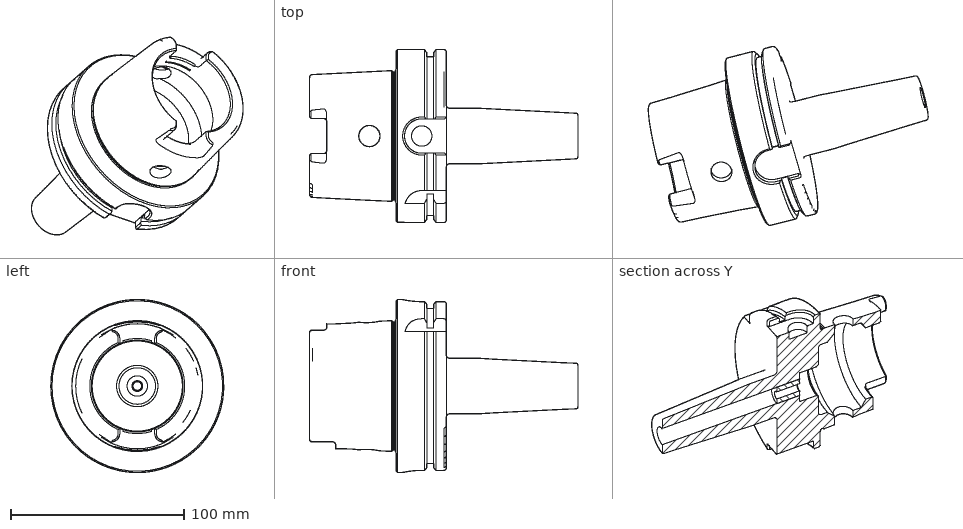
import cadquery as cq
import math

LENGTH = 155.0

FACE_X = 50.0
TAPER_END_X = 47.3
TAPER_END_RADIUS = 37.8
TAPER_RATE = 1 / 20
MOUTH_RADIUS = TAPER_END_RADIUS - TAPER_RATE * TAPER_END_X
MOUTH_ROUND = 1.9

RELIEF_SHOULDER_X = 48.0
RELIEF_SHOULDER_RADIUS = 37.5
RELIEF_START_X = 48.5
RELIEF_END_X = 49.1
RELIEF_RADIUS = 37.0
RELIEF_LIP_X = 49.6
RELIEF_LIP_RADIUS = 37.7
FACE_RECESS_RADIUS = 39.2

BORE_MOUTH_RADIUS = 26.5
BORE_CHAMFER = 1.0
CLAMP_START_X = 20.0
CLAMP_ANGLE = 60.0
UNDERCUT_RADIUS = 31.5
UNDERCUT_END_X = 40.0
REAR_BORE_RADIUS = 26.0
BORE_DEPTH = 51.2
BORE_FLOOR_ROUND = 1.7
THREAD_RADIUS = 10.5
THREAD_CHAMFER = 1.4
THREAD_DEPTH = 12.4
THREAD_FLOOR_X = BORE_DEPTH + THREAD_DEPTH
CROSS_HOLE_RADIUS = 6.0
CROSS_HOLE_X = 34.5

SLOT_HALF_WIDTH = 10.0
SLOT_CORNER_Z = 27.5
SLOT_CORNER_RADIUS = 4.8
SLOT_FLOOR_ROUND = 1.9
SLOT_MOUTH_CHAMFER = 1.0
SLOT_MOUTH_ANGLE = 45.0
UPPER_SLOT_DEPTH = 9.9
LOWER_SLOT_DEPTH = 15.0

FLANGE_DIAMETER = 100.0
FLANGE_RADIUS = FLANGE_DIAMETER / 2
FLANGE_END_X = 79.0
FLANGE_CHAMFER = 0.8
FLANGE_ROUND = 1.5
GROOVE_FLOOR_RADIUS = 45.9
GROOVE_FLOOR_START_X = 67.7
GROOVE_FLOOR_END_X = 71.6
GROOVE_BEVEL_LENGTH = 1.4
GROOVE_BEVEL_DEPTH = 1.9

POCKET_RADIUS = 9.9
POCKET_X = 64.8
POCKET_FLOOR = 44.0
POCKET_CHAMFER = 1.1
POCKET_HOLE_RADIUS = 5.9
POCKET_HOLE_DEPTH = 5.3
NOTCH_FLOOR = 31.5
NOTCH_WALL_Y = -31.5

NECK_RADIUS = 16.1
NECK_END_X = 97.6
NECK_ROUND = 1.9
TIP_RADIUS = 13.2
TIP_ROUND = 1.2
TOOL_BORE_RADIUS = 5.9

SCREW_LENGTH = 15.5
SCREW_HOLE_RADIUS = 2.5
SCREW_CHAMFER = 0.6
SCREW_CONE_ANGLE = 90.0

CLEARANCE = 1.5


def revolve_about_x(outline):
    return outline.close().revolve(360, (0, 0, 0), (1, 0, 0))


def make_shank():
    shank = revolve_about_x(
        cq.Workplane("XY")
        .polyline([
            (0, 0),
            (0, MOUTH_RADIUS),
            (TAPER_END_X, TAPER_END_RADIUS),
            (RELIEF_SHOULDER_X, RELIEF_SHOULDER_RADIUS),
            (RELIEF_START_X, RELIEF_RADIUS),
            (RELIEF_END_X, RELIEF_RADIUS),
            (RELIEF_LIP_X, RELIEF_LIP_RADIUS),
            (FACE_X, FACE_RECESS_RADIUS),
            (FACE_X, 0),
        ])
    )
    return shank.faces("<X").edges().fillet(MOUTH_ROUND)


def make_nose():
    nose = revolve_about_x(
        cq.Workplane("XY")
        .moveTo(FLANGE_END_X, 0)
        .lineTo(FLANGE_END_X, NECK_RADIUS)
        .lineTo(NECK_END_X, NECK_RADIUS)
        .lineTo(LENGTH, TIP_RADIUS)
        .lineTo(LENGTH, 0)
    )
    return nose.faces(">X").edges().fillet(TIP_ROUND)


def round_end_cutter(center_y, floor_z):
    """Vertical milling cut with a round end, open toward +X."""
    straight = FLANGE_END_X + CLEARANCE - POCKET_X
    height = FLANGE_RADIUS + CLEARANCE - floor_z
    plane = cq.Workplane("XY", origin=(POCKET_X, center_y, floor_z))
    end = plane.circle(POCKET_RADIUS).extrude(height)
    channel = plane.rect(straight, 2 * POCKET_RADIUS).extrude(height).translate((straight / 2, 0, 0))
    return end.union(channel)


def make_flange():
    flange = cq.Workplane("YZ", origin=(FACE_X, 0, 0)).circle(FLANGE_RADIUS).extrude(FLANGE_END_X - FACE_X)
    flange = flange.faces("<X").edges().chamfer(FLANGE_CHAMFER)
    flange = flange.faces(">X").edges().fillet(FLANGE_ROUND)
    pocket = round_end_cutter(0, POCKET_FLOOR)
    for angle in (0, 180):
        flange = flange.cut(pocket.rotate((0, 0, 0), (1, 0, 0), angle))
    return flange


def chamfer_pocket_rims(flange):
    """Break the upper edges where the pocket walls meet the flange cylinder."""
    rim_floor = POCKET_FLOOR + CLEARANCE
    rim_top = FLANGE_RADIUS + CLEARANCE
    for low_z, high_z in ((rim_floor, rim_top), (-rim_top, -rim_floor)):
        rim_zone = cq.selectors.BoxSelector(
            (FACE_X + FLANGE_CHAMFER, -POCKET_RADIUS - CLEARANCE, low_z),
            (FLANGE_END_X - FLANGE_ROUND, POCKET_RADIUS + CLEARANCE, high_z),
        )
        flange = flange.edges(rim_zone).chamfer(POCKET_CHAMFER)
    return flange


def cut_groove(flange):
    bevel_radius = FLANGE_RADIUS - GROOVE_BEVEL_DEPTH
    outer_radius = FLANGE_RADIUS + CLEARANCE
    bevel_start_x = GROOVE_FLOOR_START_X - GROOVE_BEVEL_LENGTH
    bevel_end_x = GROOVE_FLOOR_END_X + GROOVE_BEVEL_LENGTH
    groove = revolve_about_x(
        cq.Workplane("XY")
        .polyline([
            (GROOVE_FLOOR_START_X, GROOVE_FLOOR_RADIUS),
            (GROOVE_FLOOR_START_X, bevel_radius),
            (bevel_start_x, FLANGE_RADIUS),
            (bevel_start_x, outer_radius),
            (bevel_end_x, outer_radius),
            (bevel_end_x, FLANGE_RADIUS),
            (GROOVE_FLOOR_END_X, bevel_radius),
            (GROOVE_FLOOR_END_X, GROOVE_FLOOR_RADIUS),
        ])
    )
    return flange.cut(groove)


def cut_notch(flange):
    return flange.cut(round_end_cutter(NOTCH_WALL_Y - POCKET_RADIUS, NOTCH_FLOOR))


def make_shank_bore():
    clamp_length = (UNDERCUT_RADIUS - BORE_MOUTH_RADIUS) / math.tan(math.radians(CLAMP_ANGLE))
    rear_start_x = UNDERCUT_END_X + UNDERCUT_RADIUS - REAR_BORE_RADIUS
    bore = revolve_about_x(
        cq.Workplane("XY")
        .polyline([
            (0, 0),
            (0, BORE_MOUTH_RADIUS + BORE_CHAMFER),
            (BORE_CHAMFER, BORE_MOUTH_RADIUS),
            (CLAMP_START_X, BORE_MOUTH_RADIUS),
            (CLAMP_START_X + clamp_length, UNDERCUT_RADIUS),
            (UNDERCUT_END_X, UNDERCUT_RADIUS),
            (rear_start_x, REAR_BORE_RADIUS),
            (BORE_DEPTH, REAR_BORE_RADIUS),
            (BORE_DEPTH, 0),
        ])
    )
    bore = bore.faces(">X").edges().fillet(BORE_FLOOR_ROUND)
    thread_hole = revolve_about_x(
        cq.Workplane("XY")
        .polyline([
            (BORE_DEPTH, 0),
            (BORE_DEPTH, THREAD_RADIUS + THREAD_CHAMFER),
            (BORE_DEPTH + THREAD_CHAMFER, THREAD_RADIUS),
            (THREAD_FLOOR_X, THREAD_RADIUS),
            (THREAD_FLOOR_X, 0),
        ])
    )
    tool_bore = cq.Workplane("YZ", origin=(THREAD_FLOOR_X, 0, 0)).circle(TOOL_BORE_RADIUS).extrude(LENGTH)
    return bore.union(thread_hole).union(tool_bore)


def slot_outline():
    """Slot section: parallel walls that round outward into the taper surface."""
    inner_z = BORE_MOUTH_RADIUS / 2
    corner_y = SLOT_HALF_WIDTH + SLOT_CORNER_RADIUS
    corner_z = SLOT_CORNER_Z + SLOT_CORNER_RADIUS
    outer_y = corner_y + SLOT_CORNER_RADIUS
    outer_z = TAPER_END_RADIUS + CLEARANCE
    arc_step = SLOT_CORNER_RADIUS * math.sqrt(0.5)
    arc_y = corner_y - arc_step
    arc_z = SLOT_CORNER_Z + arc_step
    return (
        cq.Workplane("YZ")
        .moveTo(-SLOT_HALF_WIDTH, inner_z)
        .lineTo(SLOT_HALF_WIDTH, inner_z)
        .lineTo(SLOT_HALF_WIDTH, SLOT_CORNER_Z)
        .threePointArc((arc_y, arc_z), (corner_y, corner_z))
        .lineTo(outer_y, corner_z)
        .lineTo(outer_y, outer_z)
        .lineTo(-outer_y, outer_z)
        .lineTo(-outer_y, corner_z)
        .lineTo(-corner_y, corner_z)
        .threePointArc((-arc_y, arc_z), (-SLOT_HALF_WIDTH, SLOT_CORNER_Z))
        .close()
    )


def slot_cutter(depth):
    """Slot with a chamfered mouth, rounded floor edges and a chamfer from the floor into the bore."""
    slot = slot_outline().extrude(depth).faces(">X").edges().fillet(SLOT_FLOOR_ROUND)
    mouth = slot_outline().offset2D(SLOT_MOUTH_CHAMFER).extrude(SLOT_MOUTH_CHAMFER, taper=SLOT_MOUTH_ANGLE)
    bore_edge = revolve_about_x(
        cq.Workplane("XY")
        .polyline([
            (depth, 0),
            (depth, BORE_MOUTH_RADIUS + BORE_CHAMFER),
            (depth + BORE_CHAMFER, BORE_MOUTH_RADIUS),
            (depth + BORE_CHAMFER, 0),
        ])
    )
    floor_width = 2 * (SLOT_HALF_WIDTH - SLOT_FLOOR_ROUND)
    floor_strip = cq.Workplane("YZ").rect(floor_width, 2 * FLANGE_RADIUS).extrude(BORE_DEPTH)
    bore_edge = bore_edge.intersect(floor_strip)
    return slot.union(mouth).union(bore_edge)


def cut_radial_holes(holder):
    """Hole right across the shank and blind hole in the floor of the upper pocket."""
    cross_hole = (
        cq.Workplane("XY", origin=(CROSS_HOLE_X, 0, 0))
        .circle(CROSS_HOLE_RADIUS)
        .extrude(TAPER_END_RADIUS + CLEARANCE, both=True)
    )
    pocket_hole = (
        cq.Workplane("XY", origin=(POCKET_X, 0, POCKET_FLOOR))
        .circle(POCKET_HOLE_RADIUS)
        .extrude(-POCKET_HOLE_DEPTH)
    )
    return holder.cut(cross_hole).cut(pocket_hole)


def round_neck_joint(holder):
    """Concave fillet where the nose leaves the flange."""
    half_height = FLANGE_RADIUS / 2
    joint_zone = cq.selectors.BoxSelector(
        (FLANGE_END_X - NECK_ROUND / 2, -half_height, -half_height),
        (FLANGE_END_X + NECK_ROUND / 2, half_height, half_height),
    )
    return holder.edges(joint_zone).fillet(NECK_ROUND)


def make_holder():
    flange = cut_notch(cut_groove(chamfer_pocket_rims(make_flange())))
    holder = make_shank().union(flange).union(make_nose())
    holder = round_neck_joint(holder)
    holder = holder.cut(make_shank_bore())
    holder = holder.cut(slot_cutter(UPPER_SLOT_DEPTH))
    holder = holder.cut(slot_cutter(LOWER_SLOT_DEPTH).rotate((0, 0, 0), (1, 0, 0), 180))
    return cut_radial_holes(holder)


def make_stop_screw():
    """Drilled screw that closes the back end of the tool bore."""
    screw = cq.Workplane("YZ", origin=(THREAD_FLOOR_X, 0, 0)).circle(TOOL_BORE_RADIUS).extrude(SCREW_LENGTH)
    back_face = screw.faces("<X").workplane(centerOption="CenterOfBoundBox")
    cone_radius = SCREW_HOLE_RADIUS + SCREW_CHAMFER
    return back_face.cskHole(2 * SCREW_HOLE_RADIUS, 2 * cone_radius, SCREW_CONE_ANGLE)


holder = make_holder()
stop_screw = make_stop_screw()
result = cq.Compound.makeCompound([holder.val(), stop_screw.val()])